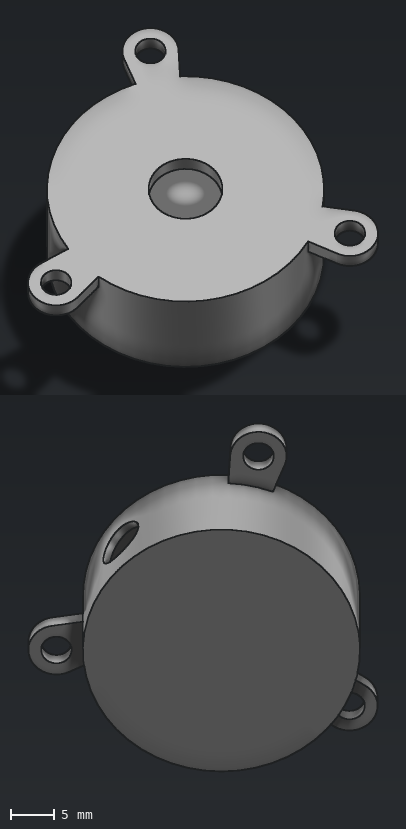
import cadquery as cq
import math

body_diameter = 32.0
body_height = 13.0
cavity_diameter = 30.0
plate_thickness = 2.0
roof_hole_diameter = 8.5

lug_count = 3
first_lug_angle = -90
lug_circle_radius = 20.0
lug_end_radius = 3.25
lug_hole_diameter = 3.5
lug_root_half_width = 2.65

side_hole_diameter = 6.0
side_hole_height = body_height / 2

body_radius = body_diameter / 2
lug_bottom = body_height - plate_thickness
cavity_height = body_height - 2 * plate_thickness


def make_lug(angle):
    """Lug narrowing from its rounded end to the body, with sides tangent to the end."""
    root_x = math.sqrt(body_radius**2 - lug_root_half_width**2)
    run = lug_circle_radius - root_x
    center_distance = math.hypot(run, lug_root_half_width)
    tangent_angle = math.atan2(lug_root_half_width, -run) - math.acos(lug_end_radius / center_distance)
    tangent_x = lug_circle_radius + lug_end_radius * math.cos(tangent_angle)
    tangent_y = lug_end_radius * math.sin(tangent_angle)
    lug = (
        cq.Workplane("XY", origin=(0, 0, lug_bottom))
        .moveTo(cavity_diameter / 2, -lug_root_half_width)
        .lineTo(root_x, -lug_root_half_width)
        .lineTo(tangent_x, -tangent_y)
        .threePointArc((lug_circle_radius + lug_end_radius, 0), (tangent_x, tangent_y))
        .lineTo(root_x, lug_root_half_width)
        .lineTo(cavity_diameter / 2, lug_root_half_width)
        .close()
        .extrude(plate_thickness)
    )
    hole = (
        cq.Workplane("XY", origin=(lug_circle_radius, 0, lug_bottom))
        .circle(lug_hole_diameter / 2)
        .extrude(plate_thickness)
    )
    return lug.cut(hole).rotate((0, 0, 0), (0, 0, 1), angle)


housing = cq.Workplane("XY").circle(body_radius).extrude(body_height)
for index in range(lug_count):
    housing = housing.union(make_lug(first_lug_angle + index * 360 / lug_count))

cavity = (
    cq.Workplane("XY", origin=(0, 0, plate_thickness))
    .circle(cavity_diameter / 2)
    .extrude(cavity_height)
)
roof_hole = (
    cq.Workplane("XY", origin=(0, 0, lug_bottom))
    .circle(roof_hole_diameter / 2)
    .extrude(plate_thickness)
)
side_hole = (
    cq.Workplane("XZ", origin=(0, 0, side_hole_height))
    .circle(side_hole_diameter / 2)
    .extrude(-body_radius)
)

result = housing.cut(cavity).cut(roof_hole).cut(side_hole)